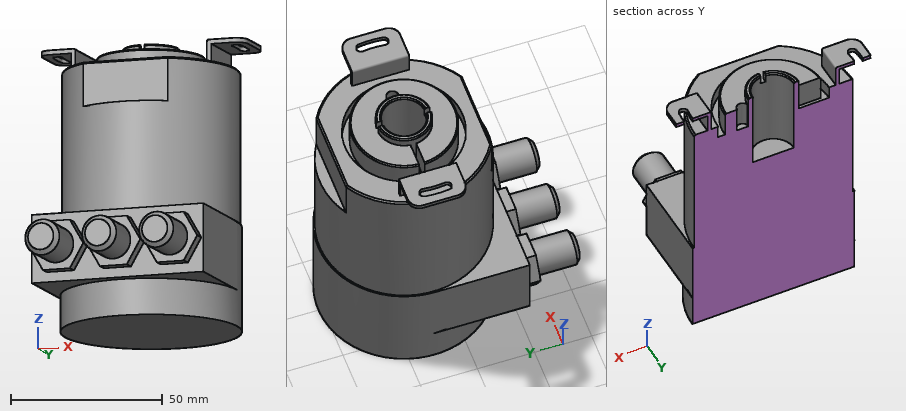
import cadquery as cq
import math

block_bottom_z = 12.2
block_top_z = 35.15
flats_bottom_z = 72.1
body_top_z = 87.0
ring_top_z = 91.8
total_height = 95.0

base_diameter = 60.0
block_front_y = -33.4

body_diameter = 59.0
flat_distance = 51.0
body_chamfer = 0.6
recess_diameter = 41.0
recess_depth = 4.75

ring_diameter = 36.0
ring_chamfer = 0.5
slit_width = 2.0
screw_hole_diameter = 4.2
screw_hole_x = 11.4

shaft_diameter = 18.8
bore_diameter = 15.0
bore_depth = 30.0
shaft_chamfer = 0.5
shaft_slot_width = 1.8

connector_count = 3
connector_pitch = 19.95
nut_sides = 6
nut_across_flats = 16.3
nut_thickness = 4.1
plug_diameter = 12.0
plug_end_y = -53.0
plug_chamfer = 1.5

bracket_tip_x = 36.0
bracket_inner_x = 23.0
bracket_width = 20.0
bracket_thickness = 1.5
bracket_corner_radius = 4.0
bracket_bend_radius = 0.8
bracket_slot_radius = 31.5
bracket_slot_width = 3.1
bracket_slot_length = 11.2


def cylinder(diameter, bottom_z, top_z):
    """Cylinder about the Z axis between two heights."""
    return cq.Workplane("XY").workplane(offset=bottom_z).circle(diameter / 2).extrude(top_z - bottom_z)


def make_base():
    block = cq.Workplane("XY").box(
        base_diameter, -block_front_y, block_top_z - block_bottom_z, centered=(True, False, False)
    ).translate((0, block_front_y, block_bottom_z))
    return cylinder(base_diameter, 0, block_top_z).union(block)


def make_body():
    lower = cylinder(body_diameter, block_top_z, flats_bottom_z)
    flatted_height = body_top_z - flats_bottom_z
    between_flats = cq.Workplane("XY").box(
        body_diameter, flat_distance, flatted_height, centered=(True, True, False)
    ).translate((0, 0, flats_bottom_z))
    upper = cylinder(body_diameter, flats_bottom_z, body_top_z).intersect(between_flats)
    upper = upper.faces(">Z").edges().chamfer(body_chamfer)
    return lower.union(upper).cut(cylinder(recess_diameter, body_top_z - recess_depth, body_top_z))


def make_clamp_ring():
    floor_z = body_top_z - recess_depth
    height = ring_top_z - floor_z
    ring = cylinder(ring_diameter, floor_z, ring_top_z).faces(">Z").edges().chamfer(ring_chamfer)
    slit = cq.Workplane("XY").box(
        ring_diameter / 2, slit_width, height, centered=(False, True, False)
    ).translate((-ring_diameter / 2, 0, floor_z))
    screw_hole = cylinder(screw_hole_diameter, floor_z, ring_top_z).translate((screw_hole_x, 0, 0))
    return ring.cut(slit).cut(screw_hole)


def make_shaft():
    shaft = cylinder(shaft_diameter, body_top_z - recess_depth, total_height)
    return shaft.faces(">Z").edges().chamfer(shaft_chamfer)


def make_bore():
    """Blind bore with a chamfered mouth and the slot across the shaft end."""
    bore = cylinder(bore_diameter, total_height - bore_depth, total_height)
    mouth = cq.Workplane(cq.Solid.makeCone(
        bore_diameter / 2, bore_diameter / 2 + shaft_chamfer, shaft_chamfer,
        pnt=cq.Vector(0, 0, total_height - shaft_chamfer),
    ))
    slot = cq.Workplane("XY").box(
        shaft_slot_width, shaft_diameter, total_height - ring_top_z, centered=(True, True, False)
    ).translate((0, 0, ring_top_z))
    return bore.union(mouth).union(slot)


def make_connector(x):
    """Hexagonal nut and chamfered plug pointing along -Y."""
    center = (x, block_front_y, (block_bottom_z + block_top_z) / 2)
    face = cq.Workplane("XZ", origin=center)
    nut = face.polygon(nut_sides, nut_across_flats / math.cos(math.pi / nut_sides)).extrude(nut_thickness)
    plug = face.circle(plug_diameter / 2).extrude(block_front_y - plug_end_y)
    plug = plug.faces("<Y").edges().chamfer(plug_chamfer)
    return nut.union(plug)


def make_bracket():
    """Angle bracket on the +X side with a slot curved about the Z axis."""
    leg_outer_x = bracket_inner_x + bracket_thickness
    plate_bottom_z = total_height - bracket_thickness
    bracket = (
        cq.Workplane("XZ")
        .moveTo(bracket_inner_x, body_top_z)
        .lineTo(bracket_inner_x, total_height)
        .lineTo(bracket_tip_x, total_height)
        .lineTo(bracket_tip_x, plate_bottom_z)
        .lineTo(leg_outer_x, plate_bottom_z)
        .lineTo(leg_outer_x, body_top_z)
        .close()
        .extrude(bracket_width / 2, both=True)
    )
    bracket = bracket.edges("|Z and >X").fillet(bracket_corner_radius)
    bend = cq.selectors.NearestToPointSelector((bracket_inner_x, 0, total_height))
    bracket = bracket.edges("|Y").edges(bend).fillet(bracket_bend_radius)
    return bracket.cut(make_bracket_slot(plate_bottom_z))


def make_bracket_slot(bottom_z):
    half_angle = math.asin((bracket_slot_length - bracket_slot_width) / 2 / bracket_slot_radius)
    inner = bracket_slot_radius - bracket_slot_width / 2
    outer = bracket_slot_radius + bracket_slot_width / 2
    start = (inner * math.cos(half_angle), -inner * math.sin(half_angle))
    end = (outer * math.cos(half_angle), outer * math.sin(half_angle))
    end_radius = bracket_slot_width / 2
    return (
        cq.Workplane("XY", origin=(0, 0, bottom_z))
        .moveTo(*start)
        .threePointArc((inner, 0), (start[0], -start[1]))
        .radiusArc(end, end_radius)
        .threePointArc((outer, 0), (end[0], -end[1]))
        .radiusArc(start, end_radius)
        .close()
        .extrude(bracket_thickness)
    )


result = make_base().union(make_body()).union(make_clamp_ring()).union(make_shaft()).cut(make_bore())

for index in range(connector_count):
    connector_x = (index - (connector_count - 1) / 2) * connector_pitch
    result = result.union(make_connector(connector_x))

right_bracket = make_bracket()
result = result.union(right_bracket).union(right_bracket.mirror("YZ"))